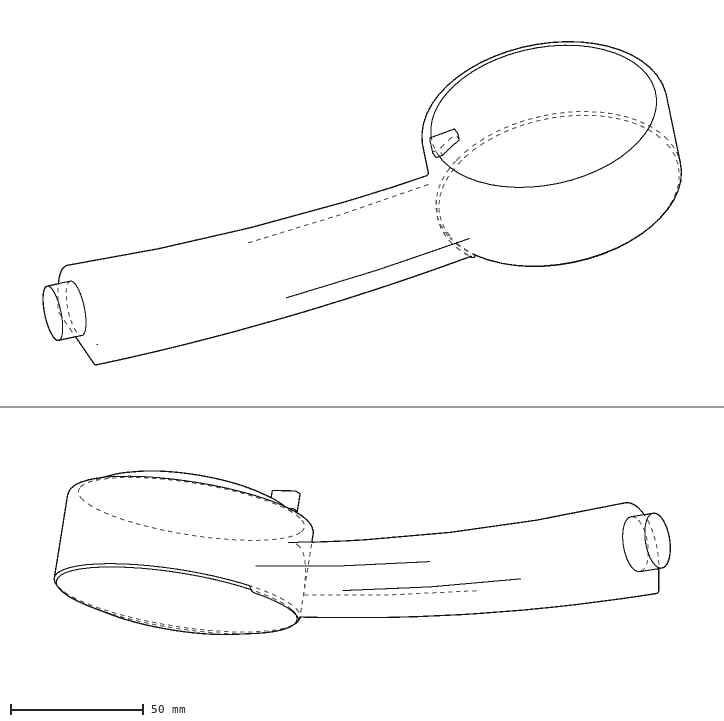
import cadquery as cq
import math

handle_width = 40.0
handle_reach = 160.0
handle_bend_radius = 881.0
hose_end_height = 30.0
hose_end_side_height = 10.0
head_end_height = 22.9
height_sag = 0.6
head_end_side_height = 9.0
handle_corner_radius = 1.5
hose_end_round = 1.0
section_count = 5

connector_diameter = 21.0
connector_length = 9.4
connector_center_height = 14.1

head_tilt = 10.0
head_center_y = 189.25
head_center_z = 53.9
housing_radius = 47.0
wall_height = 32.5
rim_round = 2.4
dome_depth = 8.1
dome_edge_chamfer = 1.0
neck_blend_radius = 1.0
joint_depth = 11.0

face_radius = 43.2
flat_radius = 29.8
face_rise = 6.45
flank_bulge = 0.7
lever_inner_radius = 34.4
lever_outer_radius = 44.8
lever_width = 4.0
lever_bottom = 3.2
lever_top = 10.2
lever_edge_round = 0.5


def tilt_into_place(head_part):
    """Move a part modelled about the head axis to its tilted place in the assembly."""
    return head_part.rotate((0, 0, 0), (1, 0, 0), head_tilt).translate((0, head_center_y, head_center_z))


def handle_section(fraction):
    """D-shaped wire at a fraction of the way from the hose end to the head."""
    height = hose_end_height + fraction * (head_end_height - hose_end_height)
    height -= 4 * height_sag * fraction * (1 - fraction)
    side_height = hose_end_side_height + fraction * (head_end_side_height - hose_end_side_height)
    angle = fraction * math.asin(handle_reach / handle_bend_radius)
    plane = cq.Plane(
        origin=(
            0,
            handle_bend_radius * math.sin(angle),
            handle_bend_radius * (1 - math.cos(angle)),
        ),
        xDir=(1, 0, 0),
        normal=(0, -math.cos(angle), -math.sin(angle)),
    )
    half_width = handle_width / 2
    corner = handle_corner_radius
    corner_inset = corner * (1 - math.sqrt(0.5))
    outline = (
        cq.Workplane(plane)
        .moveTo(corner - half_width, 0)
        .lineTo(half_width - corner, 0)
        .threePointArc((half_width - corner_inset, corner_inset), (half_width, corner))
        .lineTo(half_width, side_height)
        .threePointArc((0, height), (-half_width, side_height))
        .lineTo(-half_width, corner)
        .threePointArc((corner_inset - half_width, corner_inset), (corner - half_width, 0))
        .close()
    )
    return outline.val()


def make_handle():
    """Loft through the sections, with the hose end face rounded off at its rim."""
    sections = [handle_section(index / (section_count - 1)) for index in range(section_count)]
    handle = cq.Workplane(cq.Solid.makeLoft(sections))
    return handle.faces("<Y").fillet(hose_end_round)


def make_connector():
    """Round stub on the hose end of the handle."""
    return (
        cq.Workplane("XZ")
        .center(0, connector_center_height)
        .circle(connector_diameter / 2)
        .extrude(connector_length)
    )


def make_housing_shell():
    """Turned head body with a rounded rim and a shallow dome underneath."""
    dome_radius = housing_radius - dome_edge_chamfer
    wall_bottom = -wall_height
    dome_edge = wall_bottom - dome_edge_chamfer
    sphere_radius = (dome_radius**2 + dome_depth**2) / (2 * dome_depth)
    mid_radius = dome_radius / 2
    mid_depth = dome_depth - sphere_radius + math.sqrt(sphere_radius**2 - mid_radius**2)
    rim_inset = rim_round * (1 - math.sqrt(0.5))
    profile = (
        cq.Workplane("XZ")
        .moveTo(0, rim_round)
        .lineTo(housing_radius - rim_round, rim_round)
        .threePointArc(
            (housing_radius - rim_inset, rim_round - rim_inset),
            (housing_radius, 0),
        )
        .lineTo(housing_radius, wall_bottom)
        .lineTo(dome_radius, dome_edge)
        .threePointArc((mid_radius, dome_edge - mid_depth), (0, dome_edge - dome_depth))
        .close()
    )
    return tilt_into_place(profile.revolve(360, (0, 0, 0), (0, 1, 0)))


def make_neck():
    """Handle with its flanks and top blended into the housing wall.

    The blend is made on a wall longer than the housing, and the excess length is cut off after.
    """
    excess = handle_width
    long_wall = (
        cq.Workplane("XY")
        .workplane(offset=-wall_height - excess)
        .circle(housing_radius)
        .extrude(wall_height + excess)
    )
    excess_wall = (
        cq.Workplane("XY")
        .workplane(offset=-wall_height - excess)
        .circle(housing_radius)
        .extrude(excess)
    )
    wall_and_handle = tilt_into_place(long_wall).union(make_handle())
    joint_front = head_center_y - housing_radius
    joint_region = cq.selectors.BoxSelector(
        (-handle_width, joint_front, hose_end_height / 2),
        (handle_width, joint_front + joint_depth, head_center_z - rim_round),
    )
    blended = wall_and_handle.edges(joint_region).fillet(neck_blend_radius)
    return blended.cut(tilt_into_place(excess_wall))


def make_face():
    """Disc lying on the housing rim, with a lever that overhangs the rim."""
    face_top = rim_round + face_rise
    flank_width = face_radius - flat_radius
    flank_chord = math.hypot(flank_width, face_rise)
    flank_middle = (
        (flat_radius + face_radius) / 2 + flank_bulge * face_rise / flank_chord,
        rim_round + face_rise / 2 + flank_bulge * flank_width / flank_chord,
    )
    disc = (
        cq.Workplane("XZ")
        .moveTo(0, rim_round)
        .lineTo(face_radius, rim_round)
        .threePointArc(flank_middle, (flat_radius, face_top))
        .lineTo(0, face_top)
        .close()
        .revolve(360, (0, 0, 0), (0, 1, 0))
    )
    lever = (
        cq.Workplane("XY")
        .box(
            lever_width,
            lever_outer_radius - lever_inner_radius,
            lever_top - lever_bottom,
            centered=(True, False, False),
        )
        .translate((0, -lever_outer_radius, lever_bottom))
        .edges("|Z or >Z")
        .fillet(lever_edge_round)
    )
    return tilt_into_place(disc.union(lever))


housing = make_housing_shell().union(make_neck()).union(make_connector())
spray_face = make_face()

result = cq.Compound.makeCompound([housing.val(), spray_face.val()])